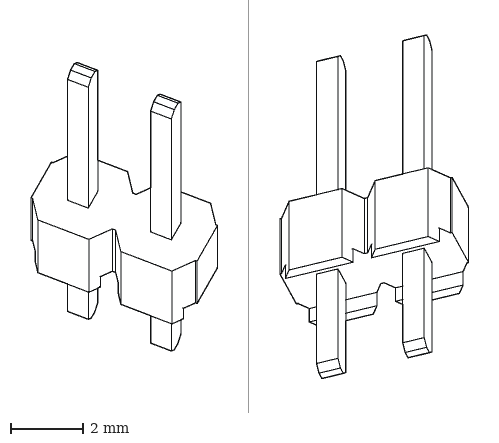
import cadquery as cq


pin_count = 2
pitch = 2.54
housing_depth = 2.54
housing_height = 2.54
web_step = 0.05
corner_x = 0.44
corner_y = 0.6
row_length = pin_count * pitch
octagon_width = pitch - 2 * web_step
web_depth = housing_depth - 2 * corner_y

channel_height = 0.5
foot_depth = 0.3
channel_width = housing_depth - 2 * foot_depth

pin_length = 11.54
pin_width = 0.63
pin_below = 3.0
tip_cut = 0.2

pin_places = [(i - (pin_count - 1) / 2) * pitch for i in range(pin_count)]


def octagon_block(x):
    """Housing of one pin, with its four upright edges cut back."""
    half_x = octagon_width / 2
    half_y = housing_depth / 2
    flat_x = half_x - corner_x
    flat_y = half_y - corner_y
    outline = [
        (half_x, flat_y), (flat_x, half_y), (-flat_x, half_y), (-half_x, flat_y),
        (-half_x, -flat_y), (-flat_x, -half_y), (flat_x, -half_y), (half_x, -flat_y),
    ]
    return cq.Workplane("XY").polyline(outline).close().extrude(housing_height).translate((x, 0, 0))


def make_housing():
    """Octagons joined by a straight web, with the channel cut along the underside."""
    on_base = (True, True, False)
    housing = cq.Workplane("XY").box(row_length, web_depth, housing_height, centered=on_base)
    for x in pin_places:
        housing = housing.union(octagon_block(x))
    channel = cq.Workplane("XY").box(row_length, channel_width, channel_height, centered=on_base)
    return housing.cut(channel)


def make_pin(x):
    """Square pin with wedge-shaped tips."""
    pin = cq.Workplane("XY").box(pin_width, pin_width, pin_length, centered=(True, True, False))
    pin = pin.faces("<Z or >Z").edges("|X").chamfer(tip_cut)
    return pin.translate((x, 0, -pin_below))


result = make_housing()
for pin_x in pin_places:
    result = result.union(make_pin(pin_x))